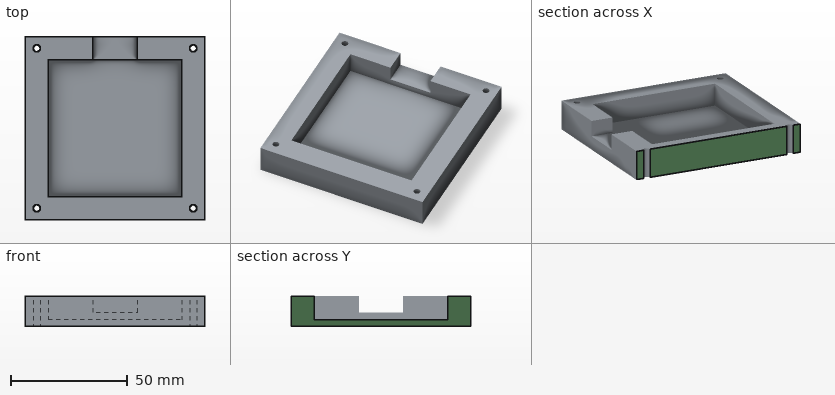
import cadquery as cq

width = 77.0
length = 78.5
height = 13.0

wall = 10.0
pocket_depth = 10.0
pocket_width = width - 2 * wall
pocket_length = length - 2 * wall

notch_width = 19.0
notch_depth = 7.0

hole_diameter = 2.9
hole_inset = wall / 2


def box_cut_from_top(size_x, size_y, depth, center_y):
    """Cutting box, centred in X, that reaches down from the top face."""
    return (
        cq.Workplane("XY", origin=(0, center_y, height - depth))
        .box(size_x, size_y, depth, centered=(True, True, False))
    )


block = cq.Workplane("XY").box(width, length, height, centered=(True, True, False))
pocket = box_cut_from_top(pocket_width, pocket_length, pocket_depth, 0)
notch = box_cut_from_top(notch_width, wall, notch_depth, (length - wall) / 2)

corner_holes = (
    cq.Workplane("XY")
    .rect(width - 2 * hole_inset, length - 2 * hole_inset, forConstruction=True)
    .vertices()
    .circle(hole_diameter / 2)
    .extrude(height)
)

result = block.cut(pocket).cut(notch).cut(corner_holes)